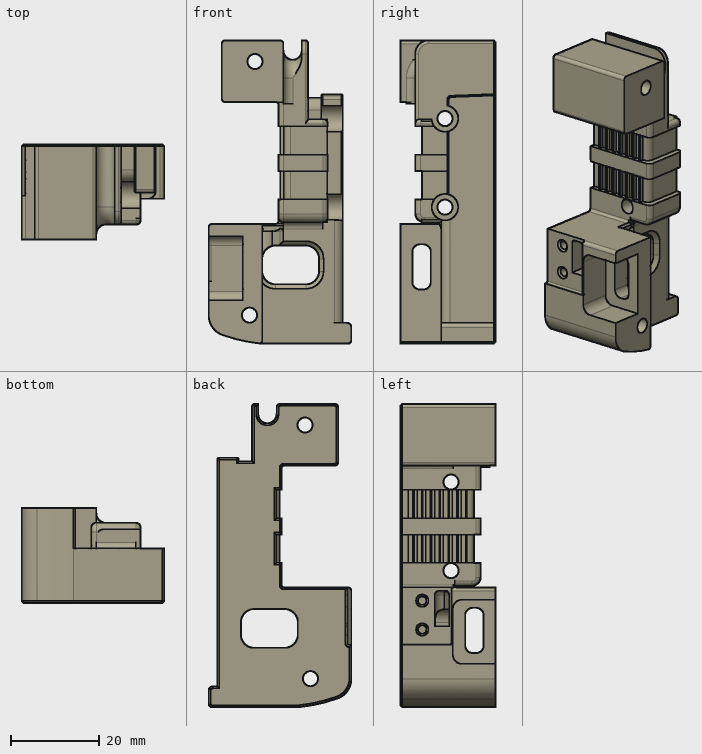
import cadquery as cq
import math

depth = 21.6
height = 68.75
back_chamfer = 0.5
block_edge = 0.8

upper_left = 2.95
upper_right = 17.0
upper_bottom = 54.7
upper_hole_diameter = 3.4
upper_hole_x = 10.5
upper_hole_z = 63.95

column_front = 3.4
wall_right = 22.55
wall_corner = 3.1
wall_edge = 0.7
groove_radius = 2.05
groove_floor = 64.35
groove_turn = 4.1
groove_depth = 6.9
groove_x = upper_right + groove_radius
web_bottom = 54.3

column_left = 15.8
column_right = 27.0
column_bottom = 26.05
band_corner = 1.1
pad_bottom = 49.2
pad_top = 50.9
middle_band_bottom = 39.1
middle_band_top = 42.8
low_band_top = 32.7
low_band_bottom = 27.5
low_band_rounding = 2.0
pad_edge = 1.0
core_left = 17.05
core_right = 26.9
core_front = 4.9
core_corner = 1.5

fin_count = 7
fin_pitch = 2.0
fin_height = 0.8
fin_ramp = 1.0
fin_crest = 0.3
fin_start = 19.8

plate_front = 9.2
plate_left = 11.7
plate_right = 30.45
plate_top = 27.15
plate_top_chamfer = 0.5
rail_rounding = 2.0
foot_right = 32.4
foot_height = 4.75
foot_rounding = 1.0
foot_chamfer = 0.5
shelf_top = 55.75
shelf_rounding = 2.75
cap_left = 25.5
cap_front = 10.65
cap_shoulder = 56.2
cap_top = 56.6
cap_rounding = 0.8
cap_edge = 0.35

bore_y = 10.1
bore_levels = (51.0, 30.95)
bore_diameter = 3.4
counterbore_diameter = 6.0

lower_right = 12.2
lower_top = plate_top
lower_curve_start = 6.45
lower_curve_join = (3.45, 1.85)
lower_curve_middle = (6.1, 1.0)
lower_hole_diameter = 3.4
lower_hole_x = 9.3
lower_hole_z = 6.45
pocket_depth = 7.8
pocket_back = 9.7
pocket_bottom = 9.8
pocket_top = 24.35
pocket_corner = 2.05
slot_y = 4.8
slot_width = 4.1
slot_bottom = 12.3
slot_top = 22.5
slot_corner = 1.65
recess_depth = 0.9
recess_front = 9.9
recess_bottom = 14.1
recess_edge = 0.35

screw_y = 16.65
screw_levels = (24.1, 17.6)
screw_diameter = 1.9
screw_rim_diameter = 2.8
screw_depth = 5.5
channel_y = 12.2
channel_width = 3.2
channel_bottom = 18.35
channel_top = 26.3
channel_edge = 0.8
channel_bend_start = (11.35, channel_y + channel_width / 2)
channel_bend_middle = (13.3, 13.2)
channel_bend_end = (14.45, 11.7)
channel_mouth_inner = (16.1, 10.1)
channel_mouth_outer = (17.0, plate_front)

cove_radius = 0.6
cove_front = 9.6

window_left = 12.2
window_right = 25.0
window_bottom = 13.5
window_top = 22.2
window_corner = 2.95
window_chamfer = 1.0


def box(x0, x1, y0, y1, z0, z1):
    """Box between two opposite corners."""
    return cq.Workplane("XY").box(x1 - x0, y1 - y0, z1 - z0, centered=False).translate((x0, y0, z0))


def along_x(diameter, x0, x1, y, z):
    """Round bar parallel to X."""
    return cq.Workplane("YZ", origin=(x0, y, z)).circle(diameter / 2).extrude(x1 - x0)


def along_y(diameter, x, z):
    """Round bar parallel to Y through the whole depth."""
    return cq.Workplane("XZ", origin=(x, 0, z)).circle(diameter / 2).extrude(-depth)


def upper_block():
    block = box(upper_left, upper_right, 0, depth, upper_bottom, height)
    block = block.edges("|Y and (<X or >Z)").fillet(block_edge)
    return block.cut(along_y(upper_hole_diameter, upper_hole_x, upper_hole_z))


def groove_tool():
    """U-shaped groove that runs forward, turns down over the front edge and drops along the column."""
    reach = groove_turn + groove_depth
    turn_y = column_front + groove_turn
    turn_z = groove_floor - groove_turn

    def section(plane, side):
        return (
            plane.moveTo(-groove_radius, side * reach)
            .lineTo(-groove_radius, side * (groove_turn + groove_radius))
            .threePointArc((0, side * groove_turn), (groove_radius, side * (groove_turn + groove_radius)))
            .lineTo(groove_radius, side * reach)
            .close()
        )

    centre = (groove_x, turn_y, turn_z)
    straight = section(cq.Workplane("XZ", origin=centre), 1).extrude(-depth)
    turn = section(cq.Workplane("XZ", origin=centre), 1).revolve(90, (0, 0, 0), (1, 0, 0))
    drop = section(cq.Workplane("XY", origin=centre), -1).extrude(-depth)
    return straight.union(turn).union(drop)


def wall():
    """Upright wall with the web that joins it to the upper block."""
    upright = box(upper_right, wall_right, column_front, depth, pad_bottom, height)
    upright = upright.edges("|X and >Z and <Y").fillet(wall_corner)
    upright = upright.faces("<Y").edges("|Z and >X").fillet(wall_edge)
    web = box(upper_right, groove_x, column_front - groove_radius, column_front, web_bottom, groove_floor)
    root = box(column_left, upper_right, column_front, depth, pad_bottom, upper_bottom)
    root = root.edges("|Z and <X and <Y").fillet(band_corner)
    return upright.union(web).cut(groove_tool()).union(root)


def band(bottom, top):
    ring = box(column_left, column_right, column_front, depth, bottom, top)
    return ring.edges("|Z and <Y").fillet(band_corner)


def low_band():
    """Lowest band: rounded under its front, then flared into the base plate."""
    rounded_y = column_front + low_band_rounding
    rounded_z = low_band_bottom + low_band_rounding
    slant = math.sqrt(0.5)
    body = (
        cq.Workplane("YZ", origin=(column_left, 0, 0))
        .moveTo(column_front, low_band_top)
        .lineTo(column_front, rounded_z)
        .threePointArc(
            (rounded_y - low_band_rounding * slant, rounded_z - low_band_rounding * slant),
            (rounded_y, low_band_bottom),
        )
        .lineTo(depth, low_band_bottom)
        .lineTo(depth, low_band_top)
        .close()
        .extrude(column_right - column_left)
    )
    body = body.edges("|Z and <Y").fillet(band_corner)

    flare = low_band_bottom - column_bottom
    flare_left = column_left + band_corner
    flare_right = column_right - band_corner
    blend = box(flare_left, flare_right, plate_front - flare, depth, column_bottom, low_band_bottom)
    hollow = along_x(2 * flare, flare_left, flare_right, plate_front - flare, column_bottom)
    rear = box(column_left, column_right, plate_front, depth, plate_top, low_band_top)
    return body.union(blend.cut(hollow)).union(rear)


def fin_profile(index):
    start = fin_start - index * fin_pitch
    crest = start - fin_ramp
    crest_end = crest - fin_crest
    peak = core_left - fin_height
    return [(core_left, start), (peak, crest), (peak, crest_end), (core_left, crest_end)]


def column():
    core = box(core_left, core_right, core_front, depth, low_band_bottom, pad_top)
    body = core.edges("|Z and <X and <Y").fillet(core_corner)
    for index in range(fin_count):
        fin = cq.Workplane("XY").polyline(fin_profile(index)).close().extrude(pad_top - low_band_top)
        body = body.union(fin.translate((0, 0, low_band_top)))
    body = body.union(band(middle_band_bottom, middle_band_top)).union(low_band())
    pad = band(pad_bottom, pad_top)
    return body.union(pad.faces(">Z").edges("<Y or >X").fillet(pad_edge))


def cove(z, side):
    """Concave blend between the column's left face and a block face, above (1) or below (-1) height z."""
    centre_x = column_left - cove_radius
    centre_z = z + side * cove_radius
    strip = box(centre_x, column_left + cove_radius, cove_front, depth, min(z, centre_z), max(z, centre_z))
    return strip.cut(along_y(2 * cove_radius, centre_x, centre_z))


def base_plate():
    """Plate carrying the foot, the side rail and the window."""
    plate = box(plate_left, column_right, plate_front, depth, 0, plate_top)
    plate = plate.edges("|X and >Z and <Y").chamfer(plate_top_chamfer)

    foot = box(plate_left, foot_right, plate_front, depth, 0, foot_height)
    foot = foot.edges("|Y and >X and >Z").fillet(foot_rounding)
    foot = foot.edges("|Y and >X and <Z").chamfer(foot_chamfer)
    return plate.union(foot)


def side_rail():
    """Tall rail beside the column: rounded at the bottom, stepped back above, capped at its top."""
    upper_bore, lower_bore = bore_levels
    rail = box(wall_right, plate_right, plate_front, depth, 0, lower_bore)
    rail = rail.edges("|Z and >X and <Y").fillet(rail_rounding)
    panel = box(wall_right, plate_right, cap_front, depth, lower_bore, upper_bore)
    panel = panel.edges("|Z and >X and <Y").chamfer(cap_edge)
    cap = (
        cq.Workplane("YZ", origin=(cap_left, 0, 0))
        .moveTo(cap_front, upper_bore)
        .lineTo(cap_front, cap_shoulder)
        .lineTo(depth, cap_top)
        .lineTo(depth, upper_bore)
        .close()
        .extrude(plate_right - cap_left)
    )
    cap = cap.faces("<Y").edges(">Z").fillet(cap_rounding)
    cap = cap.faces("<Y").edges("|Z").chamfer(cap_edge)
    rail = rail.union(panel).union(cap)

    shelf_front = bore_y + counterbore_diameter / 2
    shelf = box(upper_right, cap_left, shelf_front, depth, pad_top, shelf_top)
    shelf = shelf.edges("|X and >Z and <Y").fillet(shelf_rounding)
    return rail.union(shelf)


def window():
    """Rounded opening with a bevelled front rim."""
    width = window_right - window_left
    tall = window_top - window_bottom
    centre = ((window_left + window_right) / 2, plate_front, (window_bottom + window_top) / 2)
    opening = cq.Workplane("XZ", origin=centre).rect(width, tall).extrude(-depth)
    opening = opening.edges("|Y").fillet(window_corner)
    sketch = cq.Sketch().rect(width + 2 * window_chamfer, tall + 2 * window_chamfer)
    sketch = sketch.vertices().fillet(window_corner + window_chamfer)
    rim = cq.Workplane("XZ", origin=centre).placeSketch(sketch).extrude(-window_chamfer, taper=45)
    return opening.union(rim)


def cross_bores():
    """Cross holes, counterbored from the right as far as the wall."""
    tools = cq.Workplane("XY")
    for level in bore_levels:
        tools = tools.union(along_x(bore_diameter, 0, foot_right, bore_y, level))
        tools = tools.union(along_x(counterbore_diameter, wall_right, foot_right, bore_y, level))
    return tools


def lower_block():
    block = (
        cq.Workplane("XZ")
        .moveTo(0, lower_top)
        .lineTo(0, lower_curve_start)
        .tangentArcPoint(lower_curve_join, relative=False)
        .threePointArc(lower_curve_middle, (plate_left, 0))
        .lineTo(lower_right, lower_right - plate_left)
        .lineTo(lower_right, lower_top)
        .close()
        .extrude(-depth)
    )
    block = block.edges("|Y and <X and >Z").fillet(block_edge)
    block = block.cut(along_y(lower_hole_diameter, lower_hole_x, lower_hole_z))

    pocket = box(0, pocket_depth, -pocket_corner, pocket_back, pocket_bottom, pocket_top)
    pocket = pocket.edges("|X and >Y").fillet(pocket_corner)
    slot_front = slot_y - slot_width / 2
    slot = box(0, lower_right, slot_front, slot_front + slot_width, slot_bottom, slot_top)
    slot = slot.edges("|X").fillet(slot_corner)

    recess = box(0, recess_depth, recess_front, depth, recess_bottom, lower_top)
    recess = recess.edges("(|Y and >X and <Z) or (|Z and >X and <Y)").fillet(recess_edge)
    return block.cut(pocket).cut(slot).cut(recess)


def screw_holes():
    """Blind holes with a countersunk rim in the recessed face."""
    rim_depth = (screw_rim_diameter - screw_diameter) / 2
    tools = cq.Workplane("XY")
    for level in screw_levels:
        rim_centre = cq.Vector(recess_depth, screw_y, level)
        cone = cq.Solid.makeCone(
            screw_rim_diameter / 2, screw_diameter / 2, rim_depth, rim_centre, cq.Vector(1, 0, 0)
        )
        hole = along_x(screw_diameter, recess_depth, recess_depth + screw_depth, screw_y, level)
        tools = tools.union(hole).union(cq.Workplane(cone))
    return tools


def wire_channel():
    """Channel from the recessed face that bends forward and leaves through the front of the plate."""
    back = channel_y + channel_width / 2
    front = channel_y - channel_width / 2
    channel = (
        cq.Workplane("XY", origin=(0, 0, channel_bottom))
        .moveTo(0, front)
        .lineTo(lower_right, front)
        .lineTo(lower_right, plate_front)
        .lineTo(*channel_mouth_outer)
        .lineTo(*channel_mouth_inner)
        .lineTo(*channel_bend_end)
        .threePointArc(channel_bend_middle, channel_bend_start)
        .lineTo(0, back)
        .close()
        .extrude(channel_top - channel_bottom)
    )
    return channel.faces(">Z").edges().fillet(channel_edge)


result = upper_block().union(wall()).union(column()).union(side_rail()).union(base_plate())
result = result.cut(window())
result = result.union(lower_block()).union(cove(lower_top, 1)).union(cove(upper_bottom, -1))
result = result.cut(cross_bores()).cut(screw_holes()).cut(wire_channel())

solid = result.val()
back_outline = solid.faces(">Y").outerWire().Edges()
result = cq.Workplane(solid.chamfer(back_chamfer, None, back_outline))